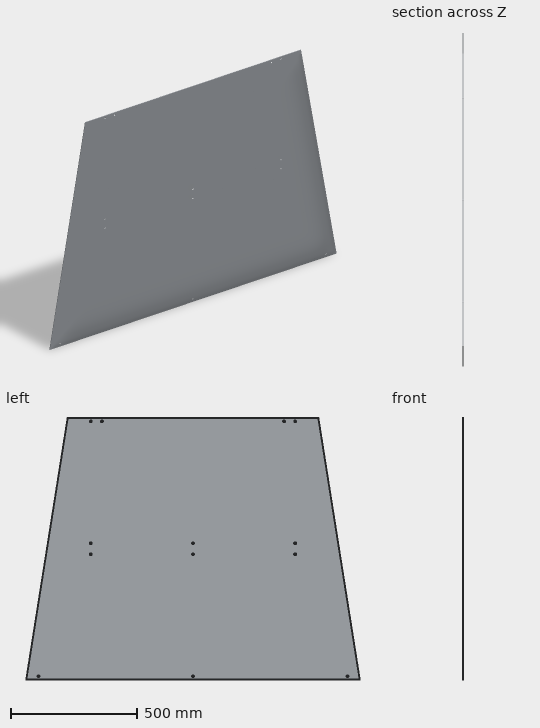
import cadquery as cq

thickness = 3.2
bottom_width = 1321
top_width = 993.0
height = 1035.0

hole_diameter = 6.7
edge_margin = 13.0
pair_spacing = 44.0
side_offset = 404.0
bottom_offset = 612.0

top_row_z = height / 2 - edge_margin
bottom_row_z = -top_row_z


def make_sheet():
    outline = [
        (-bottom_width / 2, -height / 2),
        (bottom_width / 2, -height / 2),
        (top_width / 2, height / 2),
        (-top_width / 2, height / 2),
    ]
    sheet = cq.Workplane("YZ").polyline(outline).close()
    return sheet.extrude(thickness / 2, both=True)


def hole_centres():
    centres = []
    for side in (-1, 1):
        for y in (side_offset, side_offset - pair_spacing):
            centres.append((side * y, top_row_z))
    for y in (-side_offset, 0, side_offset):
        for z in (-pair_spacing / 2, pair_spacing / 2):
            centres.append((y, z))
    for y in (-bottom_offset, 0, bottom_offset):
        centres.append((y, bottom_row_z))
    return centres


hole_cutters = (
    cq.Workplane("YZ")
    .pushPoints(hole_centres())
    .circle(hole_diameter / 2)
    .extrude(thickness, both=True)
)

result = make_sheet().cut(hole_cutters)